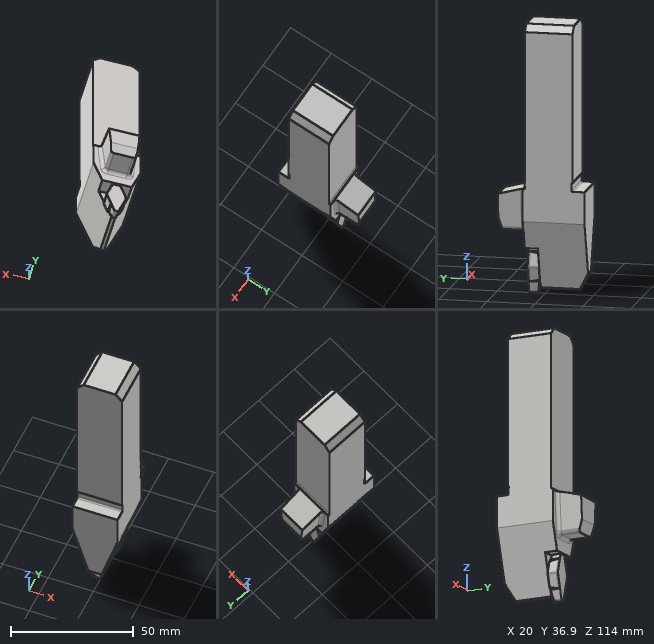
import cadquery as cq
import math


shank_size = 20.0
shank_front = 5.0
shank_back = shank_front + shank_size
total_height = 114.0
top_chamfer = 3.0

head_back = 25.8
ledge_height = 45.3
shoulder_radius = head_back - shank_back
relief_depth = 0.3
relief_height = 3.3
relief_fillet = 0.6

taper_start = 31.8
holder_bottom = 2.3
holder_nose_width = 1.6
holder_nose_radius = 1.08
slant_depth = 4.0
slant_top = 9.7

boss_back = 36.9
boss_bottom = 26.9
boss_back_top = 42.2
boss_root_top = 45.0
boss_slant_bottom_y = 35.3
boss_slant_top = 32.0
boss_top_width = 13.5
boss_bottom_width = 10.6
boss_corner_radius = 1.5
boss_root_fillet = 1.5
selection_margin = 0.1

seat_floor = 20.3
seat_top = 20.0
insert_back = 25.1
insert_nose_radius = 1.08
waist_radius = 1.08
waist_height = 11.5
flank_angle = 16.4
clearance_angle = 6.0
pad_back = 24.3
pad_half_height = 6.4
pad_end_run_back = 0.1
pad_end_run_front = 0.9
end_relief_depth = 1.1
end_relief_length = 6.5


def make_profile_outline():
    """Shank and head as seen along Y: chamfered top, tapered sides and a round nose."""
    half_width = shank_size / 2
    nose_x = holder_nose_width / 2
    nose_z = holder_bottom + holder_nose_radius - math.sqrt(holder_nose_radius**2 - nose_x**2)
    chamfer_z = total_height - top_chamfer
    chamfer_x = half_width - top_chamfer
    return (
        cq.Workplane("XZ")
        .moveTo(-nose_x, nose_z)
        .threePointArc((0, holder_bottom), (nose_x, nose_z))
        .lineTo(half_width, taper_start)
        .lineTo(half_width, chamfer_z)
        .lineTo(chamfer_x, total_height)
        .lineTo(-chamfer_x, total_height)
        .lineTo(-half_width, chamfer_z)
        .lineTo(-half_width, taper_start)
        .close()
        .extrude(-head_back)
    )


def make_side_prism():
    """Shank and head as seen along X: ledge, relief, back shoulder and slanted front end."""
    relief_y = shank_front + relief_depth
    relief_top = ledge_height + relief_height
    return (
        cq.Workplane("YZ")
        .moveTo(slant_depth, holder_bottom)
        .lineTo(0, slant_top)
        .lineTo(0, ledge_height)
        .lineTo(relief_y - relief_fillet, ledge_height)
        .radiusArc((relief_y, ledge_height + relief_fillet), -relief_fillet)
        .lineTo(relief_y, relief_top)
        .lineTo(shank_front, relief_top + relief_depth)
        .lineTo(shank_front, total_height)
        .lineTo(shank_back, total_height)
        .lineTo(shank_back, ledge_height + shoulder_radius)
        .radiusArc((head_back, ledge_height), -shoulder_radius)
        .lineTo(head_back, holder_bottom)
        .close()
        .extrude(shank_size / 2, both=True)
    )


def make_boss():
    """Clamp boss with slanted top and lower back corner, narrowing towards its bottom."""
    top_x = boss_top_width / 2
    bottom_x = boss_bottom_width / 2
    bar = (
        cq.Workplane("XZ", origin=(0, head_back, 0))
        .polyline(
            [(-bottom_x, boss_bottom), (bottom_x, boss_bottom), (top_x, ledge_height), (-top_x, ledge_height)]
        )
        .close()
        .extrude(head_back - boss_back)
    )
    bar = bar.faces("<Z").edges("|Y").fillet(boss_corner_radius)

    wall_height = ledge_height - boss_bottom + 2 * boss_root_fillet
    wall = cq.Workplane("XY").box(
        shank_size, shoulder_radius, wall_height, centered=(True, False, False)
    ).translate((0, shank_back, ledge_height - wall_height))
    reach = shank_size / 2 - selection_margin
    root_edges = cq.selectors.BoxSelector(
        (-reach, head_back - selection_margin, boss_bottom - selection_margin),
        (reach, head_back + selection_margin, ledge_height - selection_margin),
    )
    filleted = wall.union(bar).edges(root_edges).fillet(boss_root_fillet)

    side = (
        cq.Workplane("YZ")
        .moveTo(head_back, 0)
        .lineTo(boss_slant_bottom_y, 0)
        .lineTo(boss_slant_bottom_y, boss_bottom)
        .lineTo(boss_back, boss_slant_top)
        .lineTo(boss_back, boss_back_top)
        .lineTo(head_back, boss_root_top)
        .close()
        .extrude(shank_size / 2, both=True)
    )
    return filleted.intersect(side)


def make_seat():
    """Open space below the seat top and behind the seat floor, where the insert lies."""
    return (
        cq.Workplane("XY")
        .box(shank_size, head_back - seat_floor, seat_top, centered=(True, False, False))
        .translate((0, seat_floor, 0))
    )


def make_holder():
    """Shank, head and clamp boss in one piece, cut away to seat the insert."""
    body = make_profile_outline().intersect(make_side_prism())
    body = body.union(make_boss())
    return body.cut(make_seat())


def make_plate():
    """Double-pointed plate whose flanks lean inwards from the back face."""
    sine = math.sin(math.radians(flank_angle))
    cosine = math.cos(math.radians(flank_angle))
    nose_x = insert_nose_radius * cosine
    nose_z = insert_nose_radius * (1 - sine)
    flank_slope = math.tan(math.radians(flank_angle))
    tip_to_tip = 2 * waist_height
    waist_x = nose_x + (waist_height - nose_z) * flank_slope
    waist_center_x = waist_x - waist_radius / cosine
    waist_end_x = waist_center_x + waist_radius
    tangent_x = waist_center_x + waist_radius * cosine
    tangent_rise = waist_radius * sine
    return (
        cq.Workplane("XZ", origin=(0, insert_back, 0))
        .moveTo(-nose_x, nose_z)
        .threePointArc((0, 0), (nose_x, nose_z))
        .lineTo(tangent_x, waist_height - tangent_rise)
        .threePointArc((waist_end_x, waist_height), (tangent_x, waist_height + tangent_rise))
        .lineTo(nose_x, tip_to_tip - nose_z)
        .threePointArc((0, tip_to_tip), (-nose_x, tip_to_tip - nose_z))
        .lineTo(-tangent_x, waist_height + tangent_rise)
        .threePointArc((-waist_end_x, waist_height), (-tangent_x, waist_height - tangent_rise))
        .close()
        .extrude(insert_back - seat_floor, taper=clearance_angle)
    )


def flank_half_width(height, depth):
    """Half width of the plate below its waist, at a depth in front of the back face."""
    slope = math.tan(math.radians(flank_angle))
    cosine = math.cos(math.radians(flank_angle))
    setback = depth * math.tan(math.radians(clearance_angle))
    return (insert_nose_radius - setback) / cosine + (height - insert_nose_radius) * slope


def pad_section(depth, end_run):
    """Corner points of the pad in a plane at a depth in front of the insert's back face."""
    side_depth = insert_back - pad_back
    shoulder_height = pad_half_height - end_run
    end_x = flank_half_width(waist_height - pad_half_height, depth)
    shoulder_x = flank_half_width(waist_height - shoulder_height, side_depth)
    waist_x = flank_half_width(waist_height, side_depth)
    right_side = [
        (end_x, -pad_half_height),
        (shoulder_x, -shoulder_height),
        (waist_x, 0),
        (shoulder_x, shoulder_height),
        (end_x, pad_half_height),
    ]
    left_side = [(-x, z) for x, z in reversed(right_side)]
    return right_side + left_side


def make_pad():
    """Straight-sided thick middle of the insert, standing proud of the leaning flanks.

    Each pad end slopes: it starts at the flank near the back and cuts in further towards the front.
    """
    thickness = pad_back - seat_floor
    pad = (
        cq.Workplane("XZ", origin=(0, pad_back, waist_height))
        .polyline(pad_section(insert_back - pad_back, pad_end_run_back))
        .close()
        .workplane(offset=thickness)
        .polyline(pad_section(insert_back - seat_floor, pad_end_run_front))
        .close()
        .loft(ruled=True)
    )
    return pad.edges("<X or >X").fillet(waist_radius)


def make_end_relief():
    """Wedge removed from the front of the lower end of the insert."""
    return (
        cq.Workplane("YZ")
        .polyline([(seat_floor, 0), (seat_floor + end_relief_depth, 0), (seat_floor, end_relief_length)])
        .close()
        .extrude(shank_size / 2, both=True)
    )


def make_insert():
    """Double-pointed insert, symmetric about its waist and cut off flat where it meets the seat top."""
    insert = make_plate().union(make_pad())
    lower_relief = make_end_relief()
    upper_relief = lower_relief.mirror("XY", (0, 0, waist_height))
    insert = insert.cut(lower_relief).cut(upper_relief)
    above_seat = cq.Workplane("XY").box(
        shank_size, boss_back, total_height, centered=(True, False, False)
    ).translate((0, 0, seat_top))
    return insert.cut(above_seat)


holder = make_holder()
insert = make_insert()
result = cq.Compound.makeCompound([holder.solids().val(), insert.solids().val()])